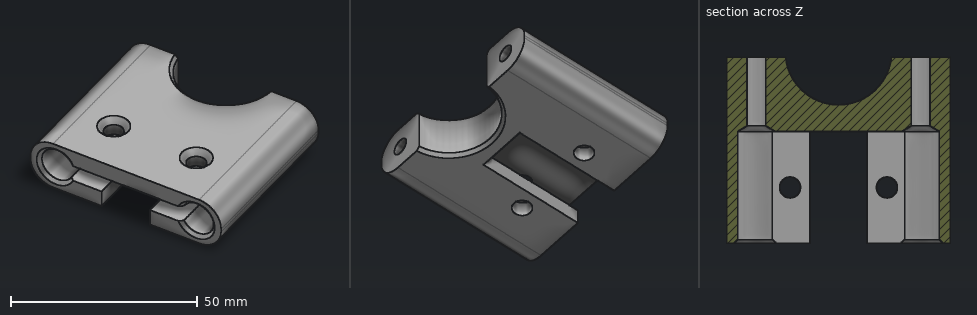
import cadquery as cq
import math

width = 60.0
length = 50.0
height = 15.0
edge_radius = 7.0
front_y = -length / 2
back_y = length / 2
top_z = height / 2

bore_inset = 8.0
bore_spacing = width - 2 * bore_inset
bore_radius = 5.0
bore_chamfer = 1.0
cavity_depth = 30.0
slot_height = 5.0
mouth_width = 15.2
mouth_overrun = 3.0
mouth_depth = cavity_depth + mouth_overrun

rear_hole_diameter = 5.0
rear_hole_radius = rear_hole_diameter / 2
cone_angle = 118.0
cone_depth = (bore_radius - rear_hole_radius) / math.tan(math.radians(cone_angle / 2))

screw_spacing = 26.0
screw_hole_diameter = 5.5
countersink_diameter = 9.0
countersink_angle = 90.0
screw_y = front_y + cavity_depth / 2

notch_radius = 14.2
notch_depth = 12.8
notch_chamfer = 1.0
notch_center_y = back_y - notch_depth + notch_radius


def make_block():
    block = cq.Workplane("XY").box(width, length, height)
    return block.edges("|Y").fillet(edge_radius)


def make_bore(center_x):
    """Revolved cutter: entry chamfer, bore, cone and rear hole along Y."""
    cavity_end = front_y + cavity_depth
    profile = (
        cq.Workplane("XY")
        .moveTo(0, front_y)
        .lineTo(bore_radius + bore_chamfer, front_y)
        .lineTo(bore_radius, front_y + bore_chamfer)
        .lineTo(bore_radius, cavity_end)
        .lineTo(rear_hole_radius, cavity_end + cone_depth)
        .lineTo(rear_hole_radius, back_y)
        .lineTo(0, back_y)
        .close()
    )
    return profile.revolve(360, (0, 0, 0), (0, 1, 0)).translate((center_x, 0, 0))


def make_slot():
    """Flat slot between the bores, open at the bottom through a narrower, deeper mouth."""
    slot = (
        cq.Workplane("XY")
        .box(bore_spacing, cavity_depth, slot_height)
        .translate((0, front_y + cavity_depth / 2, 0))
    )
    mouth_height = (height - slot_height) / 2
    mouth = (
        cq.Workplane("XY")
        .box(mouth_width, mouth_depth, mouth_height)
        .translate((0, front_y + mouth_depth / 2, (mouth_height - height) / 2))
    )
    return slot.union(mouth)


def make_notch():
    """Revolved cutter: vertical cylinder flaring at both ends to chamfer the rims."""
    rim_radius = notch_radius + notch_chamfer
    profile = (
        cq.Workplane("XZ")
        .moveTo(0, -top_z)
        .lineTo(rim_radius, -top_z)
        .lineTo(notch_radius, -top_z + notch_chamfer)
        .lineTo(notch_radius, top_z - notch_chamfer)
        .lineTo(rim_radius, top_z)
        .lineTo(0, top_z)
        .close()
    )
    return profile.revolve(360, (0, 0, 0), (0, 1, 0)).translate((0, notch_center_y, 0))


def drill_screw_holes(body):
    screw_points = [(side * screw_spacing / 2, screw_y) for side in (-1, 1)]
    return (
        body.faces(">Z")
        .workplane(origin=(0, 0, top_z))
        .pushPoints(screw_points)
        .cskHole(screw_hole_diameter, countersink_diameter, countersink_angle)
    )


body = make_block()
for side in (-1, 1):
    body = body.cut(make_bore(side * bore_spacing / 2))
body = body.cut(make_slot())
body = body.cut(make_notch())
result = drill_screw_holes(body)